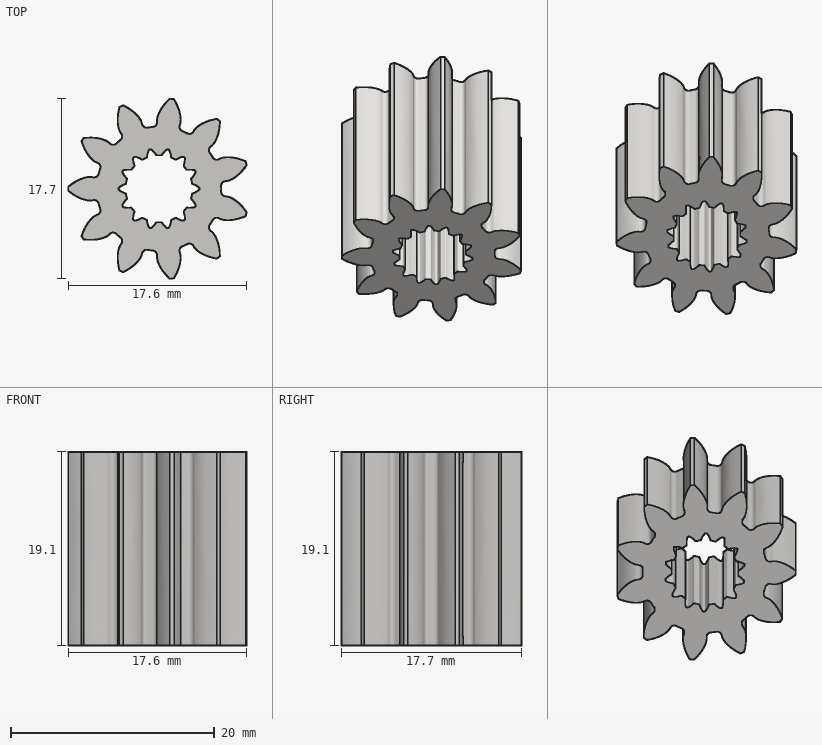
import cadquery as cq
import math

LENGTH = 19.05

GEAR_TEETH = 11
GEAR_MODULE = 1.375
GEAR_PRESSURE_ANGLE = math.radians(26.5)
GEAR_PITCH_RADIUS = GEAR_MODULE * GEAR_TEETH / 2
GEAR_FLANK_RELIEF = 0.04
GEAR_TIP_RADIUS = 8.935
GEAR_ROOT_RADIUS = 6.12
GEAR_ROOT_FILLET = 0.45
GEAR_FIRST_TOOTH_ANGLE = 180.0

SPLINE_GROOVES = 14
SPLINE_MODULE = 0.5
SPLINE_PRESSURE_ANGLE = math.radians(30)
SPLINE_PITCH_RADIUS = SPLINE_MODULE * SPLINE_GROOVES / 2
SPLINE_BORE_RADIUS = 3.28
SPLINE_GROOVE_RADIUS = 3.96
SPLINE_BORE_ROUNDING = 0.1
SPLINE_GROOVE_ROUNDING = 0.12

FLANK_POINTS = 8
OVERLAP = 0.5
RADIUS_TOLERANCE = 0.01


def polar(radius, angle):
    return (radius * math.cos(angle), radius * math.sin(angle))


def involute(angle):
    return math.tan(angle) - angle


def half_angle(radius, pitch_radius, count, pressure_angle, relief):
    """Half of the angle an involute tooth spans at the given radius."""
    base_radius = pitch_radius * math.cos(pressure_angle)
    local_angle = math.acos(base_radius / radius)
    pitch_half_angle = math.pi / (2 * count) - relief / pitch_radius
    return pitch_half_angle + involute(pressure_angle) - involute(local_angle)


def involute_tooth(count, pitch_radius, pressure_angle, core_radius, tip_radius, relief=0.0):
    """One tooth on the +X axis: radial foot, involute flanks and an arc tip."""
    base_radius = pitch_radius * math.cos(pressure_angle)
    start_radius = max(base_radius, core_radius)
    step = (tip_radius - start_radius) / (FLANK_POINTS - 1)
    flank = []
    for i in range(FLANK_POINTS):
        radius = min(start_radius + i * step, tip_radius)
        angle = half_angle(radius, pitch_radius, count, pressure_angle, relief)
        flank.append((radius, angle))
    lower = [polar(radius, -angle) for radius, angle in flank]
    upper = [polar(radius, angle) for radius, angle in reversed(flank)]
    foot_radius = core_radius - OVERLAP
    foot_angle = flank[0][1]
    return (
        cq.Workplane("XY")
        .moveTo(*polar(foot_radius, -foot_angle))
        .lineTo(*lower[0])
        .spline(lower[1:], includeCurrent=True)
        .threePointArc((tip_radius, 0), upper[0])
        .spline(upper[1:], includeCurrent=True)
        .lineTo(*polar(foot_radius, foot_angle))
        .close()
        .extrude(LENGTH)
    )


def toothed_cylinder(tooth, count, core_radius, first_angle=0.0):
    body = cq.Workplane("XY").circle(core_radius).extrude(LENGTH)
    for i in range(count):
        angle = first_angle + i * 360 / count
        body = body.union(tooth.rotate((0, 0, 0), (0, 0, 1), angle))
    return body


def round_edges_at(body, radius, rounding):
    """Round the lengthwise edges that lie at one distance from the axis."""
    edges = []
    for edge in body.edges("|Z").vals():
        center = edge.Center()
        if abs(math.hypot(center.x, center.y) - radius) < RADIUS_TOLERANCE:
            edges.append(edge)
    return body.newObject(edges).fillet(rounding)


def make_gear():
    tooth = involute_tooth(
        GEAR_TEETH,
        GEAR_PITCH_RADIUS,
        GEAR_PRESSURE_ANGLE,
        GEAR_ROOT_RADIUS,
        GEAR_TIP_RADIUS,
        GEAR_FLANK_RELIEF,
    )
    gear = toothed_cylinder(tooth, GEAR_TEETH, GEAR_ROOT_RADIUS, GEAR_FIRST_TOOTH_ANGLE)
    return round_edges_at(gear, GEAR_ROOT_RADIUS, GEAR_ROOT_FILLET)


def make_spline_bore():
    """The void of the splined bore: a cylinder with a tooth for every groove."""
    groove = involute_tooth(
        SPLINE_GROOVES,
        SPLINE_PITCH_RADIUS,
        SPLINE_PRESSURE_ANGLE,
        SPLINE_BORE_RADIUS,
        SPLINE_GROOVE_RADIUS,
    )
    bore = toothed_cylinder(groove, SPLINE_GROOVES, SPLINE_BORE_RADIUS)
    bore = round_edges_at(bore, SPLINE_BORE_RADIUS, SPLINE_BORE_ROUNDING)
    return round_edges_at(bore, SPLINE_GROOVE_RADIUS, SPLINE_GROOVE_ROUNDING)


result = make_gear().cut(make_spline_bore())